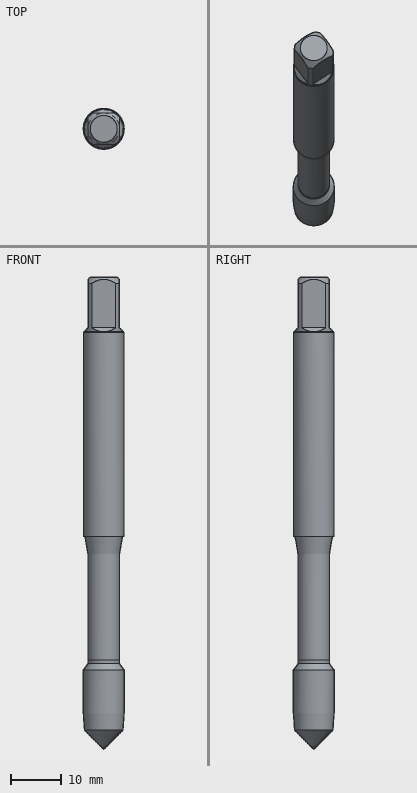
import cadquery as cq

total_length = 93.6
joint_height = 17.7

head_diameter = 8.1
lead_diameter = 7.7
point_height = lead_diameter / 2
lead_top = 7.2
head_top = 15.7
head_shoulder_top = 17.0
neck_diameter = 6.3

neck_top = 38.6
neck_blend_radius = 1.0
neck_cone_diameter = 7.5
shank_bottom = 42.2
shank_diameter = 8.0
shank_top = 82.6

drive_corner_diameter = 7.8
drive_width = 6.2
runout_height = 0.9
drive_end_diameter = 5.3

neck_radius = neck_diameter / 2
shank_radius = shank_diameter / 2
corner_radius = drive_corner_diameter / 2
end_radius = drive_end_diameter / 2
corner_step = shank_radius - corner_radius
end_chamfer = corner_radius - end_radius


def revolve_profile(points):
    """Revolve a closed (radius, height) outline about the Z axis."""
    return cq.Workplane("XZ").polyline(points).close().revolve(360, (0, 0, 0), (0, 1, 0))


def make_cutting_head():
    """Pointed head with a tapered lead and a short stub of the neck."""
    return revolve_profile([
        (0, 0),
        (lead_diameter / 2, point_height),
        (head_diameter / 2, lead_top),
        (head_diameter / 2, head_top),
        (neck_radius, head_shoulder_top),
        (neck_radius, joint_height),
        (0, joint_height),
    ])


def make_flat_cutter():
    """Material removed beside one flat, with a sloping run-out at its foot."""
    flat_offset = drive_width / 2
    return (
        cq.Workplane("XZ")
        .polyline([
            (flat_offset, shank_top + runout_height),
            (shank_radius, shank_top),
            (shank_diameter, shank_top),
            (shank_diameter, total_length),
            (flat_offset, total_length),
        ])
        .close()
        .extrude(shank_radius, both=True)
    )


def make_shank():
    """Slim neck that widens to a round shank with a square drive at its end."""
    shank = revolve_profile([
        (0, joint_height),
        (neck_radius, joint_height),
        (neck_radius, neck_top),
        (neck_cone_diameter / 2, shank_bottom),
        (shank_radius, shank_bottom),
        (shank_radius, shank_top),
        (corner_radius, shank_top + corner_step),
        (corner_radius, total_length - end_chamfer),
        (end_radius, total_length),
        (0, total_length),
    ])
    neck_corner = cq.selectors.BoxSelector(
        (-shank_radius, -shank_radius, neck_top - corner_step),
        (shank_radius, shank_radius, neck_top + corner_step),
    )
    shank = shank.edges("%CIRCLE").edges(neck_corner).fillet(neck_blend_radius)
    cutter = make_flat_cutter()
    flat_count = 4
    for index in range(flat_count):
        angle = index * 360 / flat_count
        shank = shank.cut(cutter.rotate((0, 0, 0), (0, 0, 1), angle))
    return shank


cutting_head = make_cutting_head()
shank = make_shank()
result = cq.Compound.makeCompound([cutting_head.val(), shank.val()])